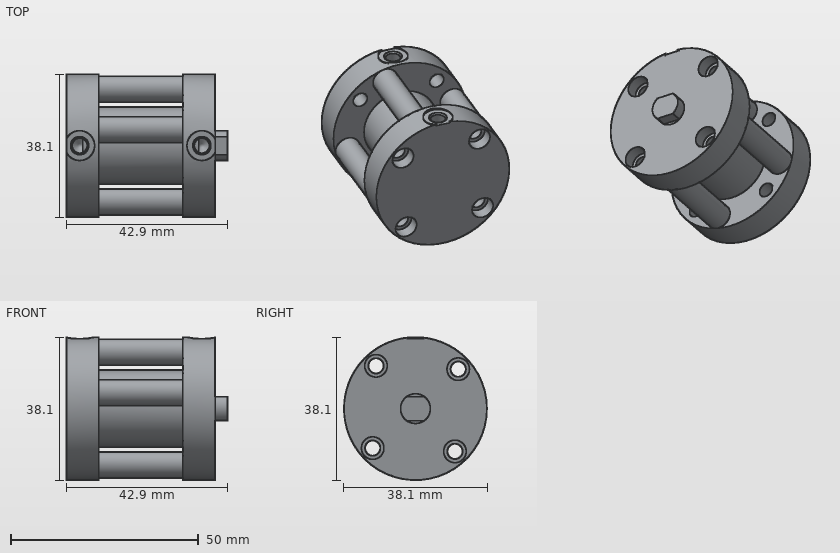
import cadquery as cq
import math

body_length = 39.624
cap_diameter = 38.1
cap_thickness = 8.636
cap_radius = cap_diameter / 2

barrel_diameter = 20.64
barrel_end_inset = 4.4
recess_depth = cap_thickness - barrel_end_inset
barrel_length = body_length - 2 * barrel_end_inset

post_count = 4
post_diameter = 6.985
post_length = body_length - 2 * cap_thickness
post_circle_radius = cap_radius - post_diameter / 2
post_angle = -15.7

hole_count = 4
hole_diameter = 4.0
hole_circle_radius = 15.49
hole_angle = 42.7
counterbore_diameter = 6.0
counterbore_depth = 3.7

port_inset = 3.556
spotface_diameter = 7.94
spotface_depth = 0.508
spotface_height = cap_radius - spotface_depth
port_diameter = 4.0
port_mouth_diameter = 4.826
port_chamfer = (port_mouth_diameter - port_diameter) / 2
port_shoulder_height = 8.0
drill_point_angle = 118.0

rod_diameter = 7.9375
rod_projection = 3.302
rod_flat_width = 6.35


def circle_points(count, radius, start_angle):
    """Evenly spaced (y, z) places on a circle about the axis."""
    angles = [math.radians(start_angle + 360 / count * i) for i in range(count)]
    return [(radius * math.cos(a), radius * math.sin(a)) for a in angles]


def x_cylinder(diameter, x_start, length, places=((0, 0),)):
    """Cylinders along +X at the given (y, z) places."""
    return cq.Workplane("YZ", origin=(x_start, 0, 0)).pushPoints(places).circle(diameter / 2).extrude(length)


def port_cutter():
    """Spotface, chamfered mouth and drilled hole with a conical point, turned about the port axis."""
    port_radius = port_diameter / 2
    mouth_radius = port_mouth_diameter / 2
    spotface_radius = spotface_diameter / 2
    point_height = port_radius / math.tan(math.radians(drill_point_angle / 2))
    profile = (
        cq.Workplane("XZ")
        .moveTo(0, port_shoulder_height - point_height)
        .lineTo(port_radius, port_shoulder_height)
        .lineTo(port_radius, spotface_height - port_chamfer)
        .lineTo(mouth_radius, spotface_height)
        .lineTo(spotface_radius, spotface_height)
        .lineTo(spotface_radius, cap_radius)
        .lineTo(0, cap_radius)
        .close()
    )
    return profile.revolve(360, (0, 0, 0), (0, 1, 0)).translate((port_inset, 0, 0))


def make_blank_cap():
    """End cap with its outer face at x = 0."""
    hole_places = circle_points(hole_count, hole_circle_radius, hole_angle)
    cap = x_cylinder(cap_diameter, 0, cap_thickness)
    cap = cap.cut(x_cylinder(barrel_diameter, barrel_end_inset, recess_depth))
    cap = cap.cut(x_cylinder(hole_diameter, 0, cap_thickness, hole_places))
    cap = cap.cut(x_cylinder(counterbore_diameter, 0, counterbore_depth, hole_places))
    return cap.cut(port_cutter())


def make_front_cap():
    """Mirror image of the rear cap, with a hole for the rod."""
    cap = make_blank_cap().mirror("YZ", (body_length / 2, 0, 0))
    return cap.cut(x_cylinder(rod_diameter, body_length - cap_thickness, cap_thickness))


def make_rod():
    """Round rod from the barrel end through the front cap, with two flats on the projecting end."""
    shank = x_cylinder(rod_diameter, body_length - barrel_end_inset, barrel_end_inset)
    tip = x_cylinder(rod_diameter, body_length, rod_projection)
    flats = (
        cq.Workplane("YZ", origin=(body_length, 0, 0))
        .rect(rod_diameter, rod_flat_width)
        .extrude(rod_projection)
    )
    return shank.union(tip.intersect(flats))


rear_cap = make_blank_cap()
front_cap = make_front_cap()
barrel = x_cylinder(barrel_diameter, barrel_end_inset, barrel_length)
rod = make_rod()
posts = [
    x_cylinder(post_diameter, cap_thickness, post_length, [place])
    for place in circle_points(post_count, post_circle_radius, post_angle)
]

result = cq.Compound.makeCompound(
    [rear_cap.val(), front_cap.val(), barrel.val(), rod.val(), *[post.val() for post in posts]]
)